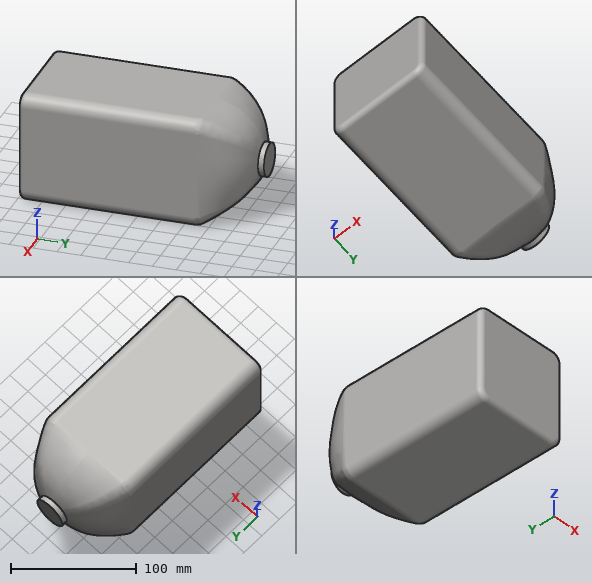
import cadquery as cq
import math

WIDTH = 94.0
HALF_WIDTH = WIDTH / 2
BODY_LENGTH = 150.0
SIDE_RADIUS = 10.0
BASE_RADIUS = 5.0

NECK_RADIUS = 14.0
NECK_LENGTH = 5.0

SHOULDER_LENGTH = 40.0
SHOULDER_BULGE = 8.0
SHOULDER_SECTIONS = 8
CORNER_BULGE = 0.6
LOWER_BULGE_FADE = 3
UNDERSIDE_TAPER = 0.79
UNDERSIDE_CURL_POWER = 8
SHOULDER_BLEND_RADIUS = 10.0

INWARD_TRAVEL = HALF_WIDTH - NECK_RADIUS
SHOULDER_END = BODY_LENGTH + SHOULDER_LENGTH

HALF_FLAT = HALF_WIDTH - SIDE_RADIUS
CORNER_LENGTH = SIDE_RADIUS * math.pi / 2
QUARTER_LENGTH = 2 * HALF_FLAT + CORNER_LENGTH
POINTS_PER_EDGE = 5
TANGENT_STEP = 1e-4
SELECTION_MARGIN = 1e-3


def outline_breaks():
    """Walked lengths, in quarter turns, at which the outline changes between flat and corner."""
    flat_share = HALF_FLAT / QUARTER_LENGTH
    breaks = [0.0]
    for quarter in range(4):
        breaks += [quarter + flat_share, quarter + 1 - flat_share]
    return breaks + [4.0]


def body_outline(turns):
    """X and Z on the body outline after the given number of quarter turns."""
    quarter = math.floor(turns)
    length = (turns - quarter) * QUARTER_LENGTH
    if length <= HALF_FLAT:
        x, z = length, HALF_WIDTH
    elif length <= HALF_FLAT + CORNER_LENGTH:
        angle = (length - HALF_FLAT) / SIDE_RADIUS
        x = HALF_FLAT + SIDE_RADIUS * math.sin(angle)
        z = HALF_FLAT + SIDE_RADIUS * math.cos(angle)
    else:
        x, z = HALF_WIDTH, QUARTER_LENGTH - length
    for _ in range(quarter % 4):
        x, z = z, -x
    return x, z


def bulged_arc(fraction):
    """Distance along Y and share of the inward travel, at a fraction of the bulging arc."""
    chord = math.hypot(SHOULDER_LENGTH, INWARD_TRAVEL)
    radius = (chord**2 / 4 + SHOULDER_BULGE**2) / (2 * SHOULDER_BULGE)
    half_angle = math.asin(chord / (2 * radius))
    angle = half_angle * (2 * fraction - 1)
    along = chord / 2 + radius * math.sin(angle)
    rise = radius * (math.cos(angle) - math.cos(half_angle))
    distance = (along * SHOULDER_LENGTH + rise * INWARD_TRAVEL) / chord
    inward = (along * INWARD_TRAVEL - rise * SHOULDER_LENGTH) / chord
    return distance, inward / INWARD_TRAVEL


def underside_share(distance):
    """Share of the inward travel completed by the underside."""
    progress = distance / SHOULDER_LENGTH
    return UNDERSIDE_TAPER * progress + (1 - UNDERSIDE_TAPER) * progress**UNDERSIDE_CURL_POWER


def bulge_weight(angle):
    """1 at the top and flanks, less at the upper corners, fading to 0 at the underside."""
    if math.cos(angle) > 0:
        return 1 - (1 - CORNER_BULGE) * math.sin(2 * angle) ** 2
    return abs(math.sin(angle)) ** LOWER_BULGE_FADE


def shoulder_point(fraction, turns):
    """Point of a shoulder section: the body outline moved part way to the neck circle."""
    distance, bulged = bulged_arc(fraction)
    straight = underside_share(distance)
    angle = turns * math.pi / 2
    share = straight + (bulged - straight) * bulge_weight(angle)
    x, z = body_outline(turns)
    return cq.Vector(
        x + share * (NECK_RADIUS * math.sin(angle) - x),
        BODY_LENGTH + distance,
        z + share * (NECK_RADIUS * math.cos(angle) - z),
    )


def shoulder_tangent(fraction, turns):
    """Unit direction of a shoulder section, walked clockwise."""
    ahead = shoulder_point(fraction, turns + TANGENT_STEP)
    behind = shoulder_point(fraction, turns - TANGENT_STEP)
    return (ahead - behind).normalized()


def shoulder_edge(fraction, start, end, is_flat):
    """One edge of a shoulder section: exact at the body and neck, a spline in between."""
    step = (end - start) / (POINTS_PER_EDGE - 1)
    points = [shoulder_point(fraction, start + i * step) for i in range(POINTS_PER_EDGE)]
    first, mid, last = points[0], points[POINTS_PER_EDGE // 2], points[-1]
    if fraction == 0 and is_flat:
        return cq.Edge.makeLine(first, last)
    if fraction in (0, 1):
        return cq.Edge.makeThreePointArc(first, mid, last)
    tangents = [shoulder_tangent(fraction, start), shoulder_tangent(fraction, end)]
    return cq.Edge.makeSpline(points, tangents=tangents)


def shoulder_section(fraction):
    """Closed wire across the shoulder; flats and corners of the outline alternate."""
    breaks = outline_breaks()
    edges = []
    for index, (start, end) in enumerate(zip(breaks, breaks[1:])):
        edges.append(shoulder_edge(fraction, start, end, is_flat=index % 2 == 0))
    return cq.Wire.assembleEdges(edges)


def make_body():
    body = cq.Workplane("XZ").rect(WIDTH, WIDTH).extrude(-BODY_LENGTH)
    body = body.edges("|Y").fillet(SIDE_RADIUS)
    return body.faces("<Y").edges().fillet(BASE_RADIUS)


def make_shoulder():
    last = SHOULDER_SECTIONS - 1
    sections = [shoulder_section(i / last) for i in range(SHOULDER_SECTIONS)]
    return cq.Workplane(cq.Solid.makeLoft(sections))


def make_neck():
    plane = cq.Plane(origin=(0, SHOULDER_END, 0), xDir=(0, 0, 1), normal=(0, 1, 0))
    return cq.Workplane(plane).circle(NECK_RADIUS).extrude(NECK_LENGTH)


def round_shoulder_edge(bottle):
    """Round the closed edge loop where the body meets the shoulder."""
    slab = cq.selectors.BoxSelector(
        (-WIDTH, BODY_LENGTH - SELECTION_MARGIN, -WIDTH),
        (WIDTH, BODY_LENGTH + SELECTION_MARGIN, WIDTH),
        boundingbox=True,
    )
    return bottle.edges(slab).fillet(SHOULDER_BLEND_RADIUS)


bottle = make_body().union(make_shoulder())
result = round_shoulder_edge(bottle).union(make_neck())